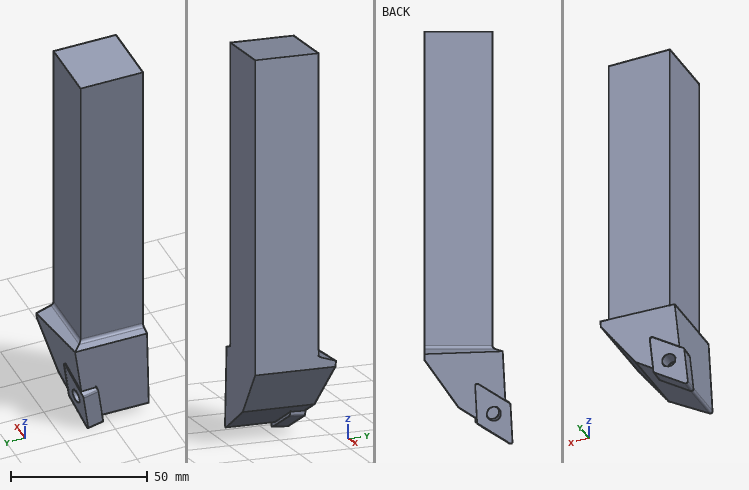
import cadquery as cq
import math


shank_width = 25.0
shank_length = 150.0

shoulder_z = 33.85
shoulder_angle = 18.0
shoulder_fillet = 1.5
head_side_x = -3.8
lead_angle = 3.0
nose_angle = 55.0
end_angle = 90.0 - lead_angle - nose_angle
back_bevel_z = 29.4
knee_x = 12.5
knee_z = 12.0
head_nose_radius = 0.8

rake_angle = 6.4
head_depth = 31.95

inscribed_diameter = 12.7
insert_thickness = 6.35
insert_hole_diameter = 5.16
insert_nose_radius = 0.8
insert_rise = 0.4
tip_x = -7.41
tip_z = -1.98

rake_slope = math.tan(math.radians(rake_angle))
shoulder_slope = math.tan(math.radians(shoulder_angle))
lead_slope = math.tan(math.radians(lead_angle))
end_slope = math.tan(math.radians(end_angle))

shoulder_peak_z = shoulder_z + shoulder_slope * shank_width

stock_depth = 2 * head_depth

edge_length = inscribed_diameter / math.sin(math.radians(nose_angle))
edge_lean = inscribed_diameter / math.tan(math.radians(nose_angle))

corner_z = shoulder_z - shoulder_slope * (head_depth - shank_width)


def rake_y(x, z):
    """Y of the head's rake face at the point (x, z)."""
    return head_depth - rake_slope * (shank_width - x + corner_z - z)


def rake_workplane(x, z, height):
    """Workplane parallel to the rake face, raised by height, with its local X along the cutting side."""
    normal = cq.Vector(-rake_slope, 1, -rake_slope).normalized()
    side_direction = cq.Vector(lead_slope, rake_slope * (1 + lead_slope), 1)
    origin = cq.Vector(x, rake_y(x, z), z) + normal * height
    return cq.Workplane(cq.Plane(origin=origin, xDir=side_direction, normal=normal))


def front_prism():
    """Head outline in XZ, taken past the full depth of the head."""
    side_top_z = shoulder_z + shoulder_slope * head_side_x
    end_z_below_side_top = knee_z - end_slope * (knee_x - head_side_x)
    nose_x = head_side_x - lead_slope * (side_top_z - end_z_below_side_top) / (1 - lead_slope * end_slope)
    nose_z = knee_z - end_slope * (knee_x - nose_x)
    outline = [
        (shank_width, shoulder_peak_z),
        (head_side_x, side_top_z),
        (nose_x, nose_z),
        (knee_x, knee_z),
        (shank_width, back_bevel_z),
    ]
    prism = cq.Workplane("XZ").polyline(outline).close().extrude(-stock_depth)
    nose_edge = cq.selectors.NearestToPointSelector((nose_x, stock_depth / 2, nose_z))
    return prism.edges("|Y").edges(nose_edge).fillet(head_nose_radius)


def side_prism():
    """Region in YZ under the shoulder slope of the +Y side, taken past the full width of the head."""
    outline = [
        (0, shoulder_peak_z),
        (stock_depth, shoulder_peak_z - shoulder_slope * stock_depth),
        (stock_depth, 0),
        (0, 0),
    ]
    return cq.Workplane("YZ").polyline(outline).close().extrude(2 * shank_width, both=True)


def make_head():
    """Both outlines crossed, then cut back to the tilted rake face."""
    head = front_prism().intersect(side_prism())
    above_rake = (
        rake_workplane(0, 0, 0)
        .rect(2 * shank_length, 2 * shank_length)
        .extrude(stock_depth)
    )
    return head.cut(above_rake)


def insert_plate():
    """Rounded diamond plate without its hole; also the shape of its seat."""
    plate = (
        rake_workplane(tip_x, tip_z, insert_rise)
        .polyline([(0, 0), (edge_length, 0), (edge_length + edge_lean, inscribed_diameter),
                   (edge_lean, inscribed_diameter)])
        .close()
        .extrude(-insert_thickness)
    )
    corner_edges = cq.selectors.ParallelDirSelector(plate.plane.zDir)
    return plate.edges(corner_edges).fillet(insert_nose_radius)


def make_insert():
    """Insert with its central hole right through."""
    hole = (
        rake_workplane(tip_x, tip_z, insert_rise)
        .center((edge_length + edge_lean) / 2, inscribed_diameter / 2)
        .circle(insert_hole_diameter / 2)
        .extrude(-insert_thickness)
    )
    return insert_plate().cut(hole)


def make_holder():
    """Shank and head in one piece, with the seat for the insert."""
    shank = (
        cq.Workplane("XY", origin=(0, 0, back_bevel_z))
        .rect(shank_width, shank_width, centered=False)
        .extrude(shank_length - back_bevel_z)
    )
    holder = shank.union(make_head())
    left_joint = cq.selectors.NearestToPointSelector((0, shank_width / 2, shoulder_z))
    rear_joint = cq.selectors.NearestToPointSelector((shank_width / 2, shank_width, shoulder_z))
    holder = holder.edges(left_joint + rear_joint).fillet(shoulder_fillet)
    return holder.cut(insert_plate())


holder = make_holder()
insert = make_insert()
result = cq.Compound.makeCompound([holder.val(), insert.val()])